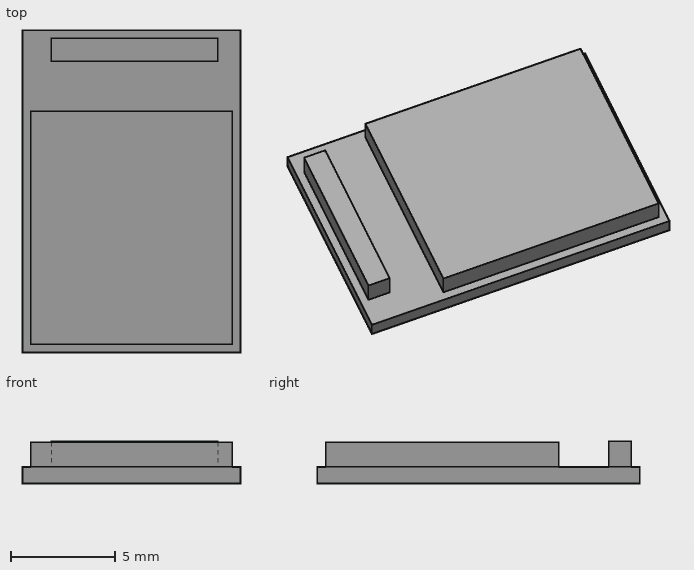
import cadquery as cq

BOARD_WIDTH = 10.5
BOARD_LENGTH = 15.5
BOARD_THICKNESS = 0.8

EDGE_MARGIN = 0.4

SHIELD_WIDTH = BOARD_WIDTH - 2 * EDGE_MARGIN
SHIELD_LENGTH = 11.2
SHIELD_HEIGHT = 1.2

ANTENNA_WIDTH = 8.0
ANTENNA_DEPTH = 1.1
ANTENNA_HEIGHT = 1.24
ANTENNA_LEFT_MARGIN = 1.4

BOARD_LEFT = -BOARD_WIDTH / 2
BOARD_FRONT = -BOARD_LENGTH / 2
BOARD_BACK = BOARD_LENGTH / 2


def block(width, length, height, left, front, bottom):
    """Rectangular block placed by its left, front, bottom corner."""
    return cq.Workplane("XY").box(width, length, height, centered=False).translate((left, front, bottom))


def make_board():
    return block(BOARD_WIDTH, BOARD_LENGTH, BOARD_THICKNESS, BOARD_LEFT, BOARD_FRONT, 0)


def make_shield():
    left = BOARD_LEFT + EDGE_MARGIN
    front = BOARD_FRONT + EDGE_MARGIN
    return block(SHIELD_WIDTH, SHIELD_LENGTH, SHIELD_HEIGHT, left, front, BOARD_THICKNESS)


def make_antenna():
    left = BOARD_LEFT + ANTENNA_LEFT_MARGIN
    front = BOARD_BACK - EDGE_MARGIN - ANTENNA_DEPTH
    return block(ANTENNA_WIDTH, ANTENNA_DEPTH, ANTENNA_HEIGHT, left, front, BOARD_THICKNESS)


board = make_board()
shield = make_shield()
antenna = make_antenna()

result = cq.Compound.makeCompound([board.val(), shield.val(), antenna.val()])